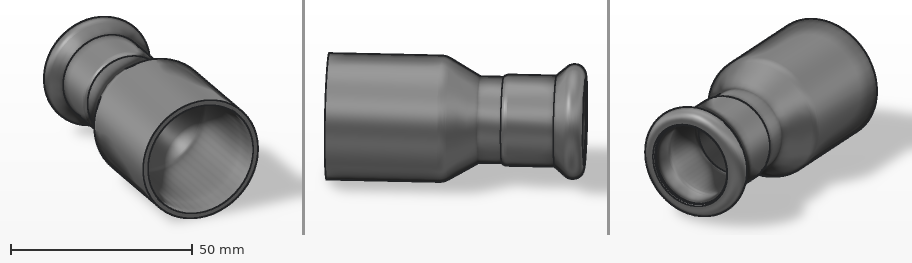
import cadquery as cq
import math


total_length = 71.0
socket_start_x = 8.1
socket_end_x = 21.0
neck_start_x = 22.7
spigot_start_x = 40.0

spigot_radius = 35.0 / 2
spigot_bore_radius = 32.0 / 2
neck_radius = 24.0 / 2
neck_bore_radius = 21.0 / 2
wall = spigot_radius - spigot_bore_radius
socket_radius = 25.3 / 2
socket_bore_radius = 22.2 / 2
socket_wall = socket_radius - socket_bore_radius

mouth_radius = 23.2 / 2
lip_chamfer = 0.4
bead_tube_radius = 3.1
bead_ring_radius = 12.8
groove_tube_radius = bead_tube_radius - socket_wall

stop_drop = socket_radius - neck_radius
stop_radius = ((neck_start_x - socket_end_x) ** 2 + stop_drop**2) / (2 * stop_drop)
stop_bore_radius = stop_radius - socket_wall

cone_angle = math.radians(30)
shoulder_radius = 5.0
neck_fillet = 0.5

joining_tolerance = 1e-6

bead_center = (bead_tube_radius, bead_ring_radius)
flank_center = (socket_start_x, socket_radius)
stop_center = (socket_end_x, socket_radius - stop_radius)
shoulder_center = (spigot_start_x, spigot_radius - shoulder_radius)
neck_fillet_rise = neck_radius + neck_fillet - shoulder_center[1]
neck_fillet_run = (
    shoulder_radius + neck_fillet - neck_fillet_rise * math.cos(cone_angle)
) / math.sin(cone_angle)
neck_fillet_center = (spigot_start_x - neck_fillet_run, neck_radius + neck_fillet)


def polar(center, radius, angle):
    """Point on a circle about the centre, the angle measured from +X."""
    return (
        center[0] + radius * math.cos(angle),
        center[1] + radius * math.sin(angle),
    )


def add_arc(profile, center, radius, start_angle, end_angle):
    """Draw a straight edge to the arc start if needed, then the arc itself."""
    start = polar(center, radius, start_angle)
    here = profile.val().endPoint()
    if math.dist((here.x, here.y), start) > joining_tolerance:
        profile = profile.lineTo(*start)
    return profile.threePointArc(
        polar(center, radius, (start_angle + end_angle) / 2),
        polar(center, radius, end_angle),
    )


def bead_flank_angle():
    """Bead angle at which the line to the socket start leaves the bead tangentially."""
    dx = socket_start_x - bead_center[0]
    dr = socket_radius - bead_center[1]
    return math.atan2(dr, dx) + math.acos(bead_tube_radius / math.hypot(dx, dr))


def stop_end_angle(radius, end_radius):
    """Angle at which a stop arc reaches the given distance from the X axis."""
    return math.asin((end_radius - stop_center[1]) / radius)


def draw_outer_side(profile):
    """Outside of the wall, from the bead to the spigot end."""
    up = math.pi / 2
    cone_normal = up + cone_angle
    stop_end = stop_end_angle(stop_radius, neck_radius)
    profile = add_arc(profile, bead_center, bead_tube_radius, math.pi, bead_flank_angle())
    profile = profile.lineTo(*flank_center)
    profile = add_arc(profile, stop_center, stop_radius, up, stop_end)
    profile = add_arc(profile, neck_fillet_center, neck_fillet, -up, cone_normal - math.pi)
    profile = add_arc(profile, shoulder_center, shoulder_radius, cone_normal, up)
    return profile.lineTo(total_length, spigot_radius)


def draw_inner_side(profile):
    """Inside of the wall, from the spigot end back to the bead groove."""
    up = math.pi / 2
    cone_normal = up + cone_angle
    flank_angle = bead_flank_angle()
    stop_end = stop_end_angle(stop_bore_radius, neck_bore_radius)
    profile = profile.lineTo(total_length, spigot_bore_radius)
    profile = add_arc(profile, shoulder_center, shoulder_radius - wall, up, cone_normal)
    profile = add_arc(profile, neck_fillet_center, neck_fillet + wall, cone_normal - math.pi, -up)
    profile = add_arc(profile, stop_center, stop_bore_radius, stop_end, up)
    profile = add_arc(profile, flank_center, socket_wall, -up, flank_angle - math.pi)
    return add_arc(profile, bead_center, groove_tube_radius, flank_angle, math.pi)


def make_profile():
    """Closed wall section in the (x, radius) half plane, starting at the lip."""
    lip_side_radius = mouth_radius + lip_chamfer
    profile = (
        cq.Workplane("XY")
        .moveTo(lip_chamfer, mouth_radius)
        .lineTo(0, lip_side_radius)
        .lineTo(0, bead_ring_radius)
    )
    profile = draw_outer_side(profile)
    profile = draw_inner_side(profile)
    return (
        profile.lineTo(socket_wall, lip_side_radius)
        .lineTo(socket_wall - lip_chamfer, mouth_radius)
        .close()
    )


result = make_profile().revolve(360, (0, 0, 0), (1, 0, 0))